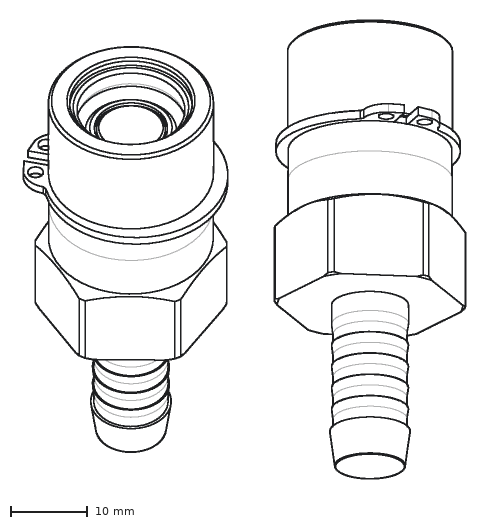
import cadquery as cq
import math

total_height = 58.3
hex_bottom = 22.5
hex_top = 33.95
taper_bottom = 39.95
ring_bottom = 44.15
ring_thickness = 1.15
groove_top = ring_bottom + ring_thickness + 0.25

upper_radius = 21.5 / 2
lower_radius = 21.45 / 2
taper_top_radius = 10.65
groove_radius = 20.0 / 2
body_chamfer = 0.4

mouth_radius = 8.35
counterbore_radius = 16.0 / 2
counterbore_depth = 1.1
ledge_radius = 7.5
bore_radius = 14.05 / 2
mouth_chamfer = mouth_radius - counterbore_radius
bore_chamfer = ledge_radius - bore_radius
bore_depth = 3.45
undercut_radius = 7.2
undercut_depth = 4.1
seal_inner_radius = 5.95
seal_depth = 5.3
tip_radius = 5.35
tip_depth = 4.8
valve_gap_outer = 9.5 / 2
valve_gap_inner = 9.0 / 2
valve_gap_depth = 0.45
valve_chamfer = 0.3

across_flats = 22.05
hex_turned_radius = 12.5
hex_angle = 20.0
hex_chamfer_slope = math.tan(math.radians(30))
hex_bottom_chamfer = 0.25

tail_radius = 10.0 / 2
tail_root_radius = 4.85
first_taper_top = 19.9
barb_pitch = 3.0
barb_height = 1.4
barb_count = 5
end_barb_radius = 5.25
end_barb_top = 4.9
end_tip_radius = 4.6
end_tip_chamfer = 0.1

ring_radius = 12.0
ring_offset = 0.65
ring_angle = 186.4
lug_gap = 2.0
lug_outer_reach = 14.1
lug_inner_reach = 8.75
lug_root_half_width = 6.4
lug_arc_start = (13.7, 3.05)
lug_arc_middle = (12.55, 4.55)
lug_arc_end = (10.5, 5.2)
eyelet_reach = 12.1
eyelet_spacing = 5.4
eyelet_diameter = 2.0


def revolve_profile(sketch):
    """Close a radius-height outline and turn it about the Z axis."""
    return sketch.close().revolve(360, (0, 0, 0), (0, 1, 0))


def make_hose_tail():
    profile = (
        cq.Workplane("XZ")
        .lineTo(end_tip_radius - end_tip_chamfer, 0)
        .lineTo(end_tip_radius, end_tip_chamfer)
        .lineTo(end_barb_radius, end_barb_top)
        .lineTo(tail_root_radius, end_barb_top)
    )
    for index in reversed(range(barb_count)):
        rib_top = first_taper_top - index * barb_pitch
        profile = profile.lineTo(tail_root_radius, rib_top - barb_height).lineTo(tail_radius, rib_top)
        if index > 0:
            profile = profile.lineTo(tail_root_radius, rib_top)
    return revolve_profile(profile.lineTo(tail_radius, hex_bottom).lineTo(0, hex_bottom))


def make_hexagon():
    height = hex_top - hex_bottom
    prism = (
        cq.Workplane("XY", origin=(0, 0, hex_bottom))
        .polygon(6, across_flats / math.cos(math.pi / 6))
        .extrude(height)
        .rotate((0, 0, 0), (0, 0, 1), hex_angle)
    )
    top_drop = (hex_turned_radius - lower_radius) * hex_chamfer_slope
    bottom_inset = hex_bottom_chamfer / hex_chamfer_slope
    envelope = revolve_profile(
        cq.Workplane("XZ", origin=(0, 0, hex_bottom))
        .lineTo(hex_turned_radius - bottom_inset, 0)
        .lineTo(hex_turned_radius, hex_bottom_chamfer)
        .lineTo(hex_turned_radius, height - top_drop)
        .lineTo(lower_radius, height)
        .lineTo(0, height)
    )
    return prism.intersect(envelope)


def make_body():
    return revolve_profile(
        cq.Workplane("XZ")
        .moveTo(0, hex_bottom)
        .lineTo(lower_radius, hex_bottom)
        .lineTo(lower_radius, taper_bottom)
        .lineTo(taper_top_radius, ring_bottom)
        .lineTo(groove_radius, ring_bottom)
        .lineTo(groove_radius, groove_top)
        .lineTo(upper_radius, groove_top)
        .lineTo(upper_radius, total_height - body_chamfer)
        .lineTo(upper_radius - body_chamfer, total_height)
        .lineTo(0, total_height)
    )


def make_socket():
    seal_mid_radius = undercut_radius - (undercut_radius - seal_inner_radius) * math.sin(math.pi / 4)
    seal_mid_depth = seal_depth - (seal_depth - undercut_depth) * math.cos(math.pi / 4)
    return revolve_profile(
        cq.Workplane("XZ", origin=(0, 0, total_height))
        .lineTo(mouth_radius, 0)
        .lineTo(counterbore_radius, -mouth_chamfer)
        .lineTo(counterbore_radius, -counterbore_depth)
        .lineTo(ledge_radius, -counterbore_depth)
        .lineTo(bore_radius, -counterbore_depth - bore_chamfer)
        .lineTo(bore_radius, -bore_depth)
        .lineTo(undercut_radius, -undercut_depth)
        .threePointArc((seal_mid_radius, -seal_mid_depth), (seal_inner_radius, -seal_depth))
        .lineTo(tip_radius, -tip_depth)
        .lineTo(valve_gap_outer, -tip_depth)
        .lineTo(valve_gap_outer, -tip_depth - valve_gap_depth)
        .lineTo(valve_gap_inner, -tip_depth - valve_gap_depth)
        .lineTo(valve_gap_inner, -tip_depth - valve_chamfer)
        .lineTo(valve_gap_inner - valve_chamfer, -tip_depth)
        .lineTo(0, -tip_depth)
    )


def make_retaining_ring():
    plane = cq.Workplane("XY", origin=(0, 0, ring_bottom))
    ring = plane.center(-ring_offset, 0).circle(ring_radius).extrude(ring_thickness)
    lug = (
        plane.moveTo(lug_inner_reach, 0)
        .lineTo(lug_outer_reach, 0)
        .lineTo(lug_outer_reach, lug_gap / 2)
        .lineTo(*lug_arc_start)
        .threePointArc(lug_arc_middle, lug_arc_end)
        .lineTo(lug_inner_reach, lug_root_half_width)
        .close()
        .extrude(ring_thickness)
    )
    ring = ring.union(lug).union(lug.mirror("XZ"))
    gap_length = lug_outer_reach - groove_radius
    gap = plane.center(groove_radius + gap_length / 2, 0).rect(gap_length, lug_gap).extrude(ring_thickness)
    eyelets = (
        plane.pushPoints([(eyelet_reach, side * eyelet_spacing / 2) for side in (-1, 1)])
        .circle(eyelet_diameter / 2)
        .extrude(ring_thickness)
    )
    return ring.cut(gap).cut(eyelets).rotate((0, 0, 0), (0, 0, 1), ring_angle)


coupling = make_hose_tail().union(make_hexagon()).union(make_body()).cut(make_socket())
result = coupling.union(make_retaining_ring())